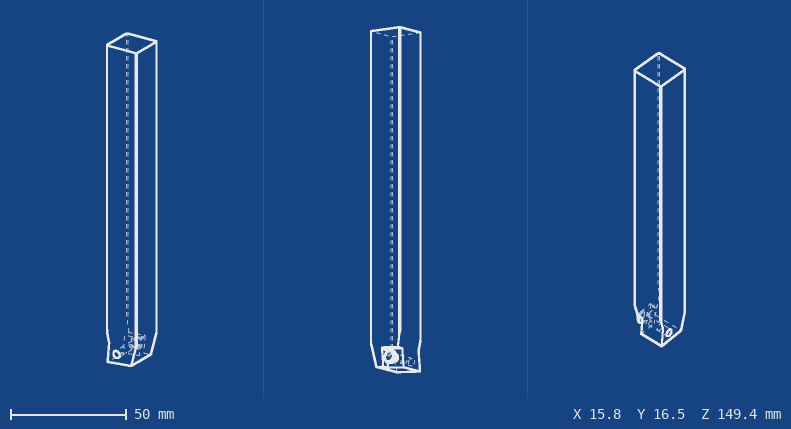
import cadquery as cq
import math

LENGTH = 149.4
WIDTH = 15.8
EDGE_CHAMFER = 0.5

TIP_X = 0.6
LEAN_ANGLE = math.radians(5)
NECK_TOP_Z = 15.5
NECK_X = 1.12
NECK_Z = 10.5
NECK_ARC_X = 1.37
NECK_ARC_Z = 9.5
EDGE_TOP_Z = 8.7
END_X = 13.0
RELIEF_Z = 11.8

HEAD_DROP = 0.6
HEAD_Y = WIDTH - HEAD_DROP

SEAT_SIDE = 8.7
SEAT_DEPTH = 3.1
SEAT_TAPER_DEPTH = 1.8
SEAT_TAPER_ANGLE = math.radians(7)
SEAT_FLOOR_Y = HEAD_Y - SEAT_DEPTH
SEAT_OVERCUT = 1.5
CORNER_RELIEF_RADIUS = 0.6

SCREW_PROTRUSION = 0.7
SCREW_TOP_Y = WIDTH + SCREW_PROTRUSION
SCREW_LENGTH = 11.2
SHAFT_RADIUS = 1.6
HEAD_RADIUS = 2.8
HEAD_END_RADIUS = 2.2
HEAD_CHAMFER_DEPTH = 0.9
HEAD_RIM_DEPTH = 1.3
HEAD_DEPTH = 2.7


def tip_point(along_bottom, along_side):
    """XZ point reached from the tip along the bottom and leading edges."""
    x = TIP_X + along_bottom * math.cos(LEAN_ANGLE) + along_side * math.sin(LEAN_ANGLE)
    z = along_bottom * math.sin(LEAN_ANGLE) + along_side * math.cos(LEAN_ANGLE)
    return x, z


def xz_plane(y):
    """Plane whose local axes are X and Z and whose normal points to -Y."""
    return cq.Workplane("XZ", origin=(0, y, 0))


SCREW_X, SCREW_Z = tip_point(SEAT_SIDE / 2, SEAT_SIDE / 2)


def make_shank():
    bar = (
        cq.Workplane("XY")
        .box(WIDTH, WIDTH, LENGTH, centered=False)
        .edges("|Z")
        .chamfer(EDGE_CHAMFER)
    )
    edge_top_x = TIP_X + EDGE_TOP_Z * math.tan(LEAN_ANGLE)
    end_z = (END_X - TIP_X) * math.tan(LEAN_ANGLE)
    outline = (
        xz_plane(WIDTH)
        .moveTo(0, LENGTH)
        .lineTo(0, NECK_TOP_Z)
        .lineTo(NECK_X, NECK_Z)
        .threePointArc((NECK_ARC_X, NECK_ARC_Z), (edge_top_x, EDGE_TOP_Z))
        .lineTo(TIP_X, 0)
        .lineTo(END_X, end_z)
        .lineTo(WIDTH, RELIEF_Z)
        .lineTo(WIDTH, LENGTH)
        .close()
        .extrude(WIDTH)
    )
    return bar.intersect(outline)


def make_head_drop():
    return (
        cq.Workplane("YZ")
        .polyline([(WIDTH, NECK_TOP_Z), (HEAD_Y, NECK_Z), (HEAD_Y, 0), (WIDTH, 0)])
        .close()
        .extrude(WIDTH)
    )


def seat_outline(side):
    low = -SEAT_OVERCUT
    return [tip_point(*p) for p in ((low, low), (side, low), (side, side), (low, side))]


def make_seat():
    inset = SEAT_TAPER_DEPTH * math.tan(SEAT_TAPER_ANGLE) / math.cos(2 * LEAN_ANGLE)
    inner_side = SEAT_SIDE - inset
    tapered = (
        xz_plane(HEAD_Y)
        .polyline(seat_outline(SEAT_SIDE))
        .close()
        .workplane(offset=SEAT_TAPER_DEPTH)
        .polyline(seat_outline(inner_side))
        .close()
        .loft(ruled=True)
    )
    straight = (
        xz_plane(HEAD_Y)
        .polyline(seat_outline(inner_side))
        .close()
        .extrude(SEAT_DEPTH)
    )
    corner_relief = (
        xz_plane(HEAD_Y - SEAT_TAPER_DEPTH)
        .center(*tip_point(inner_side, inner_side))
        .circle(CORNER_RELIEF_RADIUS)
        .extrude(SEAT_DEPTH - SEAT_TAPER_DEPTH)
    )
    return tapered.union(straight).union(corner_relief)


def make_screw_hole():
    return (
        xz_plane(SEAT_FLOOR_Y)
        .center(SCREW_X, SCREW_Z)
        .circle(SHAFT_RADIUS)
        .extrude(SEAT_FLOOR_Y)
    )


def make_holder():
    return make_shank().cut(make_head_drop()).cut(make_seat()).cut(make_screw_hole())


def make_screw():
    profile = [
        (0, 0),
        (HEAD_END_RADIUS, 0),
        (HEAD_RADIUS, -HEAD_CHAMFER_DEPTH),
        (HEAD_RADIUS, -HEAD_RIM_DEPTH),
        (HEAD_END_RADIUS, -HEAD_DEPTH),
        (SHAFT_RADIUS, -HEAD_DEPTH),
        (SHAFT_RADIUS, -SCREW_LENGTH),
        (0, -SCREW_LENGTH),
    ]
    return (
        cq.Workplane("XY", origin=(SCREW_X, SCREW_TOP_Y, SCREW_Z))
        .polyline(profile)
        .close()
        .revolve(360, (0, 0, 0), (0, 1, 0))
    )


holder = make_holder()
screw = make_screw()

result = cq.Compound.makeCompound([holder.solids().val(), screw.val()])